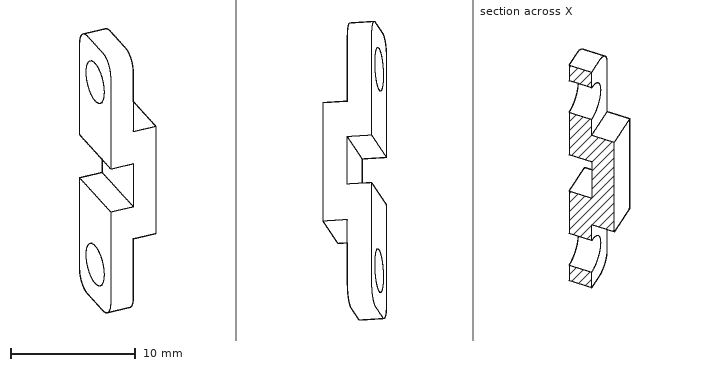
import cadquery as cq

width = 6.0
length = 24.0
plate_thickness = 2.0
bridge_thickness = 2.0

corner_radius = 1.5
hole_diameter = 3.5
hole_spacing = 17.0
gap_height = 4.0
bridge_height = 10.0

depth = plate_thickness + bridge_thickness
front_y = -depth / 2
plate_back_y = front_y + plate_thickness


def box_from(y_start, height, thickness):
    """Full-width box centred on X and Z, running toward +Y from y_start."""
    return cq.Workplane("XY").box(width, thickness, height).translate((0, y_start + thickness / 2, 0))


def make_plate():
    """Round-cornered plate with two holes, split by the middle gap."""
    plate = box_from(front_y, length, plate_thickness).edges("|Y").fillet(corner_radius)
    plate = (
        plate.faces("<Y")
        .workplane(origin=(0, front_y, 0))
        .pushPoints([(0, -hole_spacing / 2), (0, hole_spacing / 2)])
        .hole(hole_diameter)
    )
    return plate.cut(box_from(front_y, gap_height, plate_thickness))


def make_bridge():
    """Block behind the plate that spans the gap."""
    return box_from(plate_back_y, bridge_height, bridge_thickness)


result = make_plate().union(make_bridge())